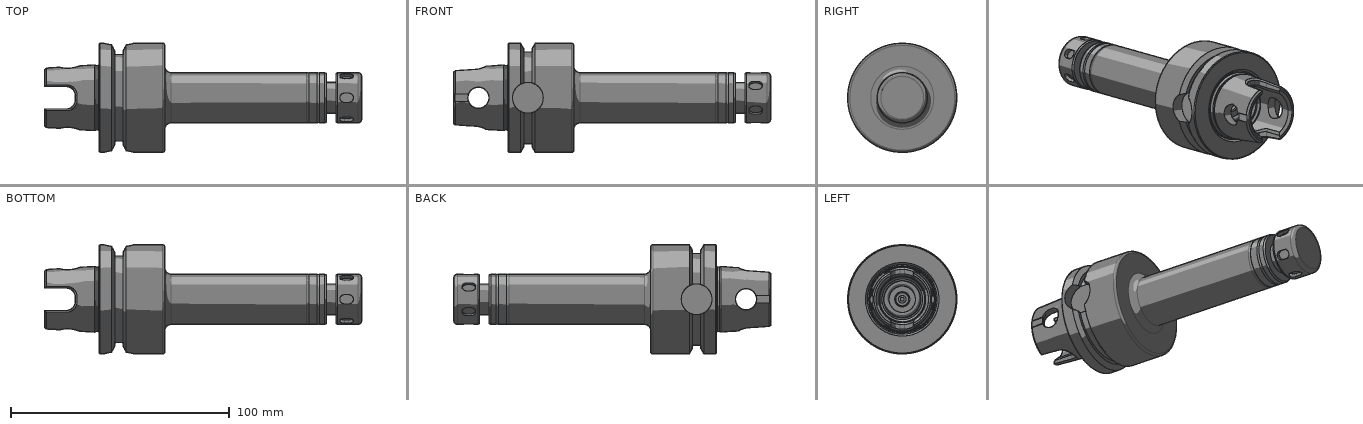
import cadquery as cq
import math

length = 145.0
taper_end = 22.8
neck_start = 23.5
neck_end = 24.4
flange_start = 25.0
flange_end = 55.0
barrel_end = 128.9
nut_start = 133.1

taper_small_radius = 13.8
taper_large_radius = 15.1
neck_radius = 14.8
flange_radius = 50.0 / 2
barrel_radius = 23.0 / 2
spindle_radius = 7.1
nut_radius = barrel_radius

shank_mouth_bevel = 0.9
flange_front_bevel = 0.5
flange_rear_round = 1.0
barrel_blend = 2.9
barrel_end_bevel_length = 0.9
nut_rear_bevel_length = 0.9
small_bevel_depth = 0.5
nut_front_round = 1.7

face_groove_outer_radius = 16.8
face_groove_floor_radius = 16.0
face_groove_inner_radius = 15.4
face_groove_depth = 0.6

gripper_center = 34.0
gripper_floor_radius = 21.0
gripper_shoulder_radius = 22.5
gripper_floor_width = 3.8
gripper_side_run = (flange_radius - gripper_shoulder_radius) / math.tan(math.radians(60))

pocket_diameter = 14.0
pocket_floor = 19.9

stepped_groove_start = 119.8
round_groove_start = 124.5
barrel_groove_width = 1.2
barrel_groove_depth = 0.1

bore_mouth_radius = 12.0
bore_radius = 10.7
bore_mouth_bevel_length = 1.2
bore_step_start = 21.6
bore_step_end = 22.5
bore_ledge_radius = 10.3
bore_throat_radius = 9.3
bore_inner_radius = 8.5
bore_floor = 29.0

lip_inner_diameter = 12.0
lip_round = 1.2

coolant_mouth_diameter = 7.0
coolant_entry_diameter = 6.0
coolant_middle_diameter = 3.5
coolant_tip_diameter = 1.7
coolant_entry_depth = 4.4
coolant_middle_depth = 8.7
coolant_tip_depth = 11.6

slot_width = 10.2
slot_end = 13.9
slot_corner_radius = 8.0 / 2
slot_bevel = 0.9

lock_hole_center = 11.3
lock_hole_diameter = 9.5
lead_in_width = 3.3
lead_in_floor = 13.5
lock_relief_tilt = 25.0
lock_relief_start = 11.7
lock_relief_depth = 5.8

wrench_slot_count = 6
wrench_slot_center = 138.0
wrench_slot_length = 6.2
wrench_slot_width = 4.2
wrench_slot_floor = 9.7


def revolve_about_x(profile):
    return profile.close().revolve(360, (0, 0, 0), (1, 0, 0))


def turned_body():
    groove_left = gripper_center - gripper_floor_width / 2
    groove_right = gripper_center + gripper_floor_width / 2
    diagonal = math.sqrt(0.5)
    blend_drop = barrel_blend * (1 - diagonal)
    flange_drop = flange_rear_round * (1 - diagonal)
    nut_drop = nut_front_round * (1 - diagonal)
    return revolve_about_x(
        cq.Workplane("XY")
        .moveTo(0, 0)
        .lineTo(0, taper_small_radius - shank_mouth_bevel)
        .lineTo(shank_mouth_bevel, taper_small_radius)
        .lineTo(taper_end, taper_large_radius)
        .lineTo(neck_start, neck_radius)
        .lineTo(neck_end, neck_radius)
        .lineTo(flange_start + face_groove_depth, face_groove_inner_radius)
        .lineTo(flange_start + face_groove_depth, face_groove_floor_radius)
        .lineTo(flange_start, face_groove_outer_radius)
        .lineTo(flange_start, flange_radius - flange_front_bevel)
        .lineTo(flange_start + flange_front_bevel, flange_radius)
        .lineTo(groove_left - gripper_side_run, flange_radius)
        .lineTo(groove_left, gripper_shoulder_radius)
        .lineTo(groove_left, gripper_floor_radius)
        .lineTo(groove_right, gripper_floor_radius)
        .lineTo(groove_right, gripper_shoulder_radius)
        .lineTo(groove_right + gripper_side_run, flange_radius)
        .lineTo(flange_end - flange_rear_round, flange_radius)
        .threePointArc(
            (flange_end - flange_drop, flange_radius - flange_drop),
            (flange_end, flange_radius - flange_rear_round),
        )
        .lineTo(flange_end, barrel_radius + barrel_blend)
        .threePointArc(
            (flange_end + blend_drop, barrel_radius + blend_drop),
            (flange_end + barrel_blend, barrel_radius),
        )
        .lineTo(stepped_groove_start, barrel_radius)
        .lineTo(stepped_groove_start + barrel_groove_width, barrel_radius - barrel_groove_depth)
        .lineTo(stepped_groove_start + barrel_groove_width, barrel_radius)
        .lineTo(round_groove_start, barrel_radius)
        .threePointArc(
            (round_groove_start + barrel_groove_width / 2, barrel_radius - barrel_groove_depth),
            (round_groove_start + barrel_groove_width, barrel_radius),
        )
        .lineTo(barrel_end - barrel_end_bevel_length, barrel_radius)
        .lineTo(barrel_end, barrel_radius - small_bevel_depth)
        .lineTo(barrel_end, spindle_radius)
        .lineTo(nut_start, spindle_radius)
        .lineTo(nut_start, nut_radius - small_bevel_depth)
        .lineTo(nut_start + nut_rear_bevel_length, nut_radius)
        .lineTo(length - nut_front_round, nut_radius)
        .threePointArc(
            (length - nut_drop, nut_radius - nut_drop),
            (length, nut_radius - nut_front_round),
        )
        .lineTo(length, 0)
    )


def shank_bore():
    lip_inner_radius = lip_inner_diameter / 2
    lip_crest_radius = lip_inner_radius + lip_round
    lip_outer_radius = lip_inner_radius + 2 * lip_round
    mouth_bevel = (coolant_mouth_diameter - coolant_entry_diameter) / 2
    return revolve_about_x(
        cq.Workplane("XY")
        .moveTo(0, 0)
        .lineTo(0, bore_mouth_radius)
        .lineTo(bore_mouth_bevel_length, bore_radius)
        .lineTo(bore_step_start, bore_radius)
        .lineTo(bore_step_start, bore_ledge_radius)
        .lineTo(bore_step_end, bore_throat_radius)
        .lineTo(bore_step_end, bore_inner_radius)
        .lineTo(bore_floor, bore_inner_radius)
        .lineTo(bore_floor, lip_outer_radius)
        .threePointArc((bore_floor - lip_round, lip_crest_radius), (bore_floor, lip_inner_radius))
        .lineTo(bore_floor, coolant_mouth_diameter / 2)
        .lineTo(bore_floor + mouth_bevel, coolant_entry_diameter / 2)
        .lineTo(bore_floor + coolant_entry_depth, coolant_entry_diameter / 2)
        .lineTo(bore_floor + coolant_entry_depth, coolant_middle_diameter / 2)
        .lineTo(bore_floor + coolant_middle_depth, coolant_middle_diameter / 2)
        .lineTo(bore_floor + coolant_middle_depth, coolant_tip_diameter / 2)
        .lineTo(bore_floor + coolant_tip_depth, coolant_tip_diameter / 2)
        .lineTo(bore_floor + coolant_tip_depth, 0)
    )


def y_cylinder(x, diameter, y_from, y_to):
    return cq.Workplane("XZ", origin=(x, y_from, 0)).circle(diameter / 2).extrude(y_from - y_to)


def drive_slots():
    """Both drive slots as one block through the shank, open at the shank end."""
    run = 2 * slot_end
    return (
        cq.Workplane("XY")
        .box(run, slot_width, 2 * flange_radius)
        .edges("|Z and >X")
        .fillet(slot_corner_radius)
    )


def is_drive_slot_rim(edge):
    """True for slot edges that follow the outer taper or the bore, beyond the bevelled mouth."""
    box = edge.BoundingBox()
    tolerance = 0.01
    through_wall_slope = 0.9
    within_slot = box.xmax < slot_end + tolerance and box.ymax - box.ymin < slot_width / 2 + tolerance
    on_wall = abs(edge.Center().y) < slot_width / 2 + tolerance
    past_mouth = edge.Center().x > bore_mouth_bevel_length
    through_wall = abs(edge.tangentAt(0.5).z) > through_wall_slope
    return within_slot and on_wall and past_mouth and not through_wall


def lock_hole_relief(side):
    """Tilted hole that widens the locking hole toward the shank end on the bore side of the wall."""
    tilt = math.radians(lock_relief_tilt)
    start = cq.Vector(lock_hole_center, side * lock_relief_start, 0)
    direction = cq.Vector(-math.sin(tilt), -side * math.cos(tilt), 0)
    radius = lock_hole_diameter / 2
    return cq.Workplane(cq.Solid.makeCylinder(radius, lock_relief_depth, start, direction))


def lead_in_flat(side):
    """Flat-bottomed channel from the shank end to the locking hole."""
    channel = cq.Workplane("XY").box(lock_hole_center, taper_large_radius, lead_in_width)
    center_y = side * (lead_in_floor + taper_large_radius / 2)
    return channel.translate((lock_hole_center / 2, center_y, 0))


def wrench_slot(angle):
    """Obround slot sunk toward the axis, turned about X from the +Z side."""
    return (
        cq.Workplane("XY", origin=(wrench_slot_center, 0, wrench_slot_floor))
        .slot2D(wrench_slot_length, wrench_slot_width)
        .extrude(nut_radius)
        .rotate((0, 0, 0), (1, 0, 0), angle)
    )


result = turned_body().cut(shank_bore())

result = result.cut(drive_slots())
slot_rims = [edge for edge in result.edges().vals() if is_drive_slot_rim(edge)]
result = result.newObject(slot_rims).chamfer(slot_bevel)

result = result.cut(y_cylinder(lock_hole_center, lock_hole_diameter, -flange_radius, flange_radius))
for side in (-1, 1):
    result = result.cut(lock_hole_relief(side))
    result = result.cut(lead_in_flat(side))
    result = result.cut(
        y_cylinder(gripper_center, pocket_diameter, side * pocket_floor, side * 2 * flange_radius)
    )

for index in range(wrench_slot_count):
    result = result.cut(wrench_slot(index * 360 / wrench_slot_count))